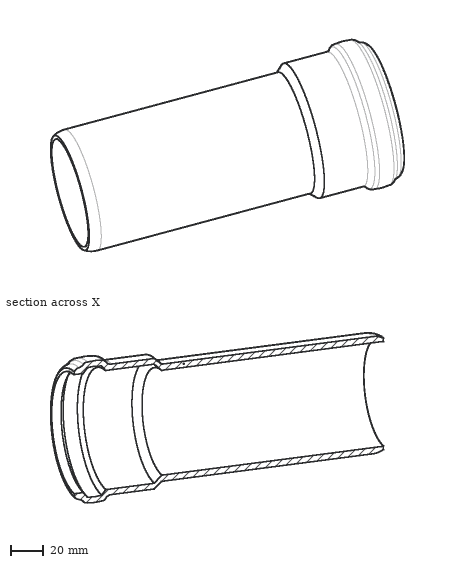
import cadquery as cq

length = 205.0

pipe_radius = 78.0 / 2
bore_radius = 69.0 / 2
spigot_tip_radius = 37.0
spigot_taper_length = 7.0

sleeve_radius = 86.7 / 2
socket_bore_radius = 78.5 / 2
wall = sleeve_radius - socket_bore_radius
shoulder_end_y = length - 53.0
shoulder_start_y = shoulder_end_y - 5.0

bead_radius = 94.3 / 2
bead_edge_radius = 46.7
bead_flank_radius = 45.5
bead_center_y = length - 13.5
bead_half_width = 4.7
flank_length = 2.7
flank_bulge = 0.5
sleeve_blend_length = 3.9
blend_bulge = 0.6
bead_back_y = bead_center_y - bead_half_width
bead_front_y = bead_center_y + bead_half_width
flank_back_y = bead_back_y - flank_length
flank_front_y = bead_front_y + flank_length
sleeve_end_y = flank_back_y - sleeve_blend_length

lip_radius = 87.5 / 2
lip_length = 3.0
lip_face_radius = 41.5
lip_bulge = 0.5
lip_blend_bulge = 0.3
lip_y = length - lip_length


def make_outer_body():
    """Solid of revolution bounded by the outside of the pipe."""
    profile = (
        cq.Workplane("XY")
        .moveTo(sleeve_radius, shoulder_end_y)
        .lineTo(pipe_radius, shoulder_start_y)
        .lineTo(pipe_radius, spigot_taper_length)
        .tangentArcPoint((spigot_tip_radius, 0), relative=False)
        .lineTo(0, 0)
        .lineTo(0, length)
        .lineTo(lip_face_radius, length)
        .sagittaArc((lip_radius, lip_y), lip_bulge)
        .sagittaArc((bead_flank_radius, flank_front_y), -lip_blend_bulge)
        .sagittaArc((bead_edge_radius, bead_front_y), flank_bulge)
        .threePointArc((bead_radius, bead_center_y), (bead_edge_radius, bead_back_y))
        .sagittaArc((bead_flank_radius, flank_back_y), flank_bulge)
        .sagittaArc((sleeve_radius, sleeve_end_y), -blend_bulge)
        .close()
    )
    return profile.revolve(360, (0, 0), (0, 1))


def make_bore():
    """Straight pipe bore that opens through a cone into the socket bore."""
    profile = (
        cq.Workplane("XY")
        .lineTo(bore_radius, 0)
        .lineTo(bore_radius, shoulder_start_y)
        .lineTo(socket_bore_radius, shoulder_end_y)
        .lineTo(socket_bore_radius, length)
        .lineTo(0, length)
        .close()
    )
    return profile.revolve(360, (0, 0), (0, 1))


def make_seal_groove():
    """Ring groove inside the bead, keeping the sleeve's wall thickness."""
    profile = (
        cq.Workplane("XY")
        .moveTo(0, flank_back_y)
        .lineTo(socket_bore_radius, flank_back_y)
        .lineTo(bead_edge_radius - wall, bead_back_y)
        .threePointArc((bead_radius - wall, bead_center_y), (bead_edge_radius - wall, bead_front_y))
        .lineTo(socket_bore_radius, flank_front_y)
        .lineTo(0, flank_front_y)
        .close()
    )
    return profile.revolve(360, (0, 0), (0, 1))


result = make_outer_body().cut(make_bore()).cut(make_seal_groove())